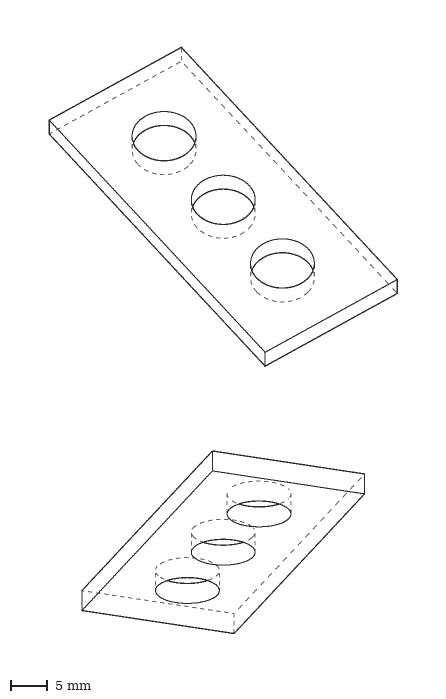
import cadquery as cq

length = 50.8
width = 22.25
thickness = 3.0

hole_diameter = 8.75
hole_pitch = 13.9
hole_count = 3

plate = cq.Workplane("XY").box(length, width, thickness)

result = (
    plate.faces(">Z")
    .workplane()
    .rarray(hole_pitch, 0.5, hole_count, 1)
    .hole(hole_diameter)
)